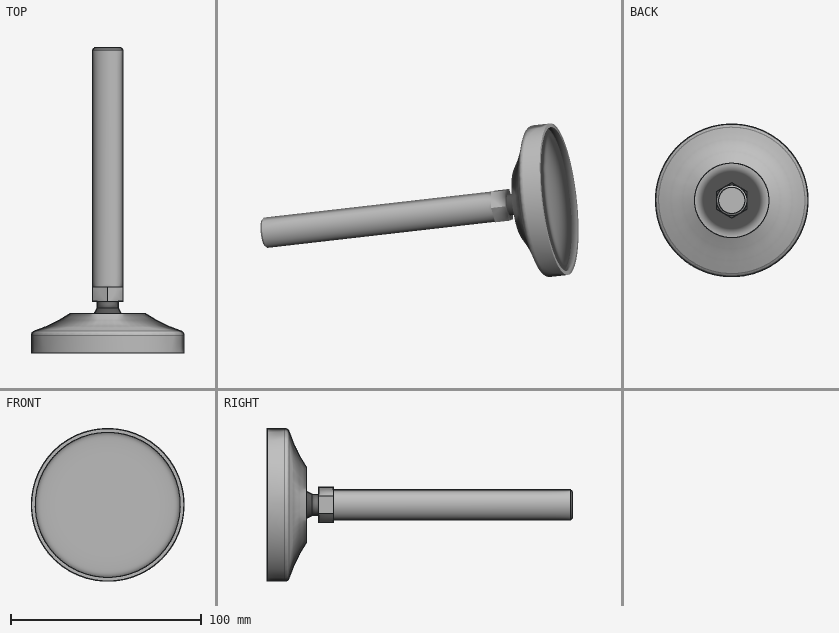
import cadquery as cq

total_length = 160.0
y_base = -total_length / 2

foot_diameter = 80.0
recess_diameter = 76.0
recess_depth = 3.2
rim_height = 11.0
rim_rounding = 2.4
foot_height = 20.8
foot_top_diameter = 39.0
flare_sag = 1.0

neck_diameter = 11.0
neck_base_diameter = 14.0
neck_start = 23.7

hex_start = 27.0
hex_height = 7.7
hex_across_flats = 16.0
stud_diameter = 16.0
stud_chamfer = 1.1


def cylinder(diameter, start, length):
    """Cylinder along +Y, starting at a height above the base."""
    direction = cq.Vector(0, 1, 0)
    origin = cq.Vector(0, y_base + start, 0)
    return cq.Workplane(cq.Solid.makeCylinder(diameter / 2, length, origin, direction))


def make_foot():
    outer_radius = foot_diameter / 2
    top_radius = foot_top_diameter / 2
    flare_middle = (
        (outer_radius + top_radius) / 2,
        (rim_height + foot_height) / 2 - flare_sag,
    )
    profile = (
        cq.Workplane("XY", origin=(0, y_base, 0))
        .lineTo(outer_radius, 0)
        .lineTo(outer_radius, rim_height)
        .threePointArc(flare_middle, (top_radius, foot_height))
        .lineTo(0, foot_height)
        .close()
    )
    body = profile.revolve(360, (0, 0, 0), (0, 1, 0))
    rim_edge = cq.selectors.NearestToPointSelector((0, y_base + rim_height, 0))
    body = body.edges(rim_edge).fillet(rim_rounding)
    return body.cut(cylinder(recess_diameter, 0, recess_depth))


def make_neck():
    cone = cq.Solid.makeCone(
        neck_base_diameter / 2,
        neck_diameter / 2,
        neck_start - foot_height,
        cq.Vector(0, y_base + foot_height, 0),
        cq.Vector(0, 1, 0),
    )
    return cylinder(neck_diameter, neck_start, hex_start - neck_start).union(cq.Workplane(cone))


def make_hexagon():
    plane = cq.Plane(origin=(0, y_base + hex_start, 0), xDir=(1, 0, 0), normal=(0, 1, 0))
    return cq.Workplane(plane).polygon(6, hex_across_flats, circumscribed=True).extrude(hex_height)


def make_stud():
    stud_start = hex_start + hex_height
    stud = cylinder(stud_diameter, stud_start, total_length - stud_start)
    return stud.faces(">Y").chamfer(stud_chamfer)


result = make_foot().union(make_neck()).union(make_hexagon()).union(make_stud())